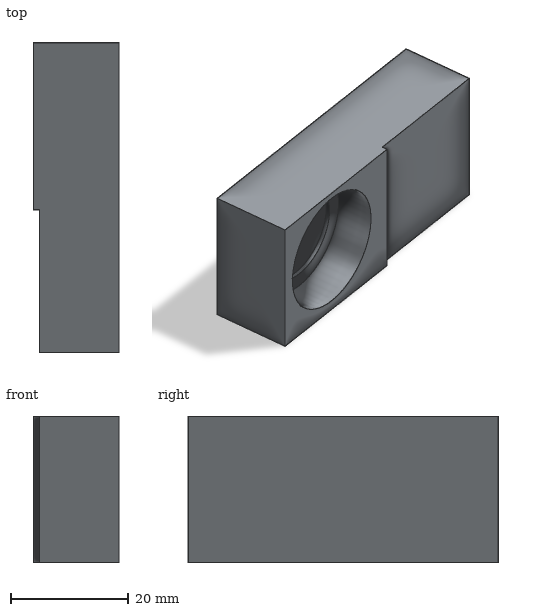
import cadquery as cq

thickness = 14.6
length = 52.95
height = 25.0

pad_length = 28.6
step_depth = 1.0

pocket_from_end = 13.1
pocket_center_z = 12.85
pocket_diameter = 22.05
pocket_depth = 7.0
recess_diameter = 17.0
recess_depth = 0.75


def block_with_step():
    """Block with its -X face set back along the -Y end."""
    block = cq.Workplane("XY").box(thickness, length, height, centered=False)
    step = cq.Workplane("XY").box(step_depth, length - pad_length, height, centered=False)
    return block.cut(step)


def round_cut(diameter, depth):
    """Cylinder that enters the pad face along +X."""
    return (
        cq.Workplane("YZ")
        .center(length - pocket_from_end, pocket_center_z)
        .circle(diameter / 2)
        .extrude(depth)
    )


result = (
    block_with_step()
    .cut(round_cut(pocket_diameter, pocket_depth))
    .cut(round_cut(recess_diameter, pocket_depth + recess_depth))
)